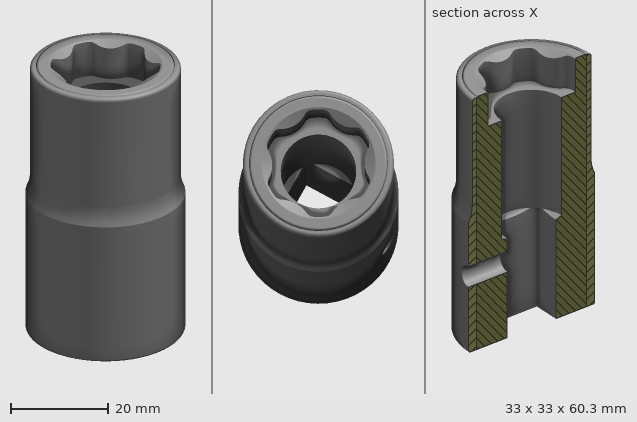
import cadquery as cq
import math

LENGTH = 60.3
LOWER_DIAMETER = 33.0
LOWER_RADIUS = LOWER_DIAMETER / 2
UPPER_RADIUS = 15.55

SLEEVE_BORE_RADIUS = 14.3
SLEEVE_TOP = 60.1
SLEEVE_TOP_ROUND = 0.8
SLEEVE_BOTTOM_ROUND = 0.5
FLARE_BOTTOM = 31.05
FLARE_TOP = 35.1

SOCKET_RADIUS = SLEEVE_BORE_RADIUS
SOCKET_TAPER_WIDTH = 0.25
SOCKET_TAPER_HEIGHT = 0.6
SOCKET_TOP_ROUND = 0.5

LOBE_COUNT = 6
LOBE_RADIUS = 11.35
RIDGE_APEX_RADIUS = 9.5
RIDGE_ARC_RADIUS = 6.0
LOBE_CORNER_ROUND = 1.8
RECESS_DEPTH = 8.1
LEAD_IN_RADIUS = 11.75
LEAD_IN_DROP = 1.1

BORE_RADIUS = 7.8
DRIVE_WIDTH = 12.6
DRIVE_DEPTH = 24.1
BORE_CONE_SLOPE = 20.0

RETENTION_HOLE_RADIUS = 2.4
RETENTION_HOLE_HEIGHT = 18.1


def make_sleeve():
    """Revolved shell with rounded ends and a concave flare."""
    rise = FLARE_TOP - FLARE_BOTTOM
    step = LOWER_RADIUS - UPPER_RADIUS
    flare_radius = (rise**2 + step**2) / (2 * step)
    half_angle = math.asin(rise / flare_radius) / 2
    flare_middle = (
        UPPER_RADIUS + flare_radius * (1 - math.cos(half_angle)),
        FLARE_TOP - flare_radius * math.sin(half_angle),
    )
    blank = (
        cq.Workplane("XZ")
        .moveTo(0, 0)
        .lineTo(LOWER_RADIUS, 0)
        .lineTo(LOWER_RADIUS, FLARE_BOTTOM)
        .threePointArc(flare_middle, (UPPER_RADIUS, FLARE_TOP))
        .lineTo(UPPER_RADIUS, SLEEVE_TOP)
        .lineTo(0, SLEEVE_TOP)
        .close()
        .revolve(360, (0, 0, 0), (0, 1, 0))
    )
    blank = blank.faces(">Z").edges().fillet(SLEEVE_TOP_ROUND)
    blank = blank.faces("<Z").edges().fillet(SLEEVE_BOTTOM_ROUND)
    bore = cq.Workplane("XY").circle(SLEEVE_BORE_RADIUS).extrude(LENGTH)
    return blank.cut(bore).cut(make_retention_hole())


def make_lobed_recess():
    """Cutter with six lobes separated by rounded ridges at 0, 60, ... degrees."""
    floor = LENGTH - RECESS_DEPTH
    plane = cq.Workplane("XY").workplane(offset=floor)
    ridges = (
        plane.polarArray(RIDGE_APEX_RADIUS + RIDGE_ARC_RADIUS, 0, 360, LOBE_COUNT)
        .circle(RIDGE_ARC_RADIUS)
        .extrude(RECESS_DEPTH)
    )
    lobes = plane.circle(LOBE_RADIUS).extrude(RECESS_DEPTH).cut(ridges)
    return lobes.edges("|Z").fillet(LOBE_CORNER_ROUND)


def make_pointed_cone(radius, top, drop):
    """Cone with its wide end up at height `top`, narrowing to a point below."""
    return (
        cq.Workplane("XZ")
        .moveTo(0, top)
        .lineTo(radius, top)
        .lineTo(0, top - drop)
        .close()
        .revolve(360, (0, 0, 0), (0, 1, 0))
    )


def make_lead_in():
    """Cone that opens the mouth of the lobed recess."""
    slope = LEAD_IN_DROP / (LEAD_IN_RADIUS - RIDGE_APEX_RADIUS)
    return make_pointed_cone(LEAD_IN_RADIUS, LENGTH, slope * LEAD_IN_RADIUS)


def make_bore():
    """Clearance bore with a conical bottom leading into the square drive."""
    bore = (
        cq.Workplane("XY")
        .workplane(offset=DRIVE_DEPTH)
        .circle(BORE_RADIUS)
        .extrude(LENGTH - RECESS_DEPTH - DRIVE_DEPTH)
    )
    cone_drop = BORE_RADIUS * math.tan(math.radians(BORE_CONE_SLOPE))
    return bore.union(make_pointed_cone(BORE_RADIUS, DRIVE_DEPTH, cone_drop))


def make_retention_hole():
    """Cutter from the axis out through the +Y wall."""
    return (
        cq.Workplane("XZ")
        .center(0, RETENTION_HOLE_HEIGHT)
        .circle(RETENTION_HOLE_RADIUS)
        .extrude(-LOWER_DIAMETER)
    )


def make_socket_blank():
    """Cylinder whose top end tapers slightly and has a rounded rim."""
    rim_radius = SOCKET_RADIUS - SOCKET_TAPER_WIDTH
    blank = (
        cq.Workplane("XZ")
        .moveTo(0, 0)
        .lineTo(SOCKET_RADIUS, 0)
        .lineTo(SOCKET_RADIUS, LENGTH - SOCKET_TAPER_HEIGHT)
        .lineTo(rim_radius, LENGTH)
        .lineTo(0, LENGTH)
        .close()
        .revolve(360, (0, 0, 0), (0, 1, 0))
    )
    return blank.faces(">Z").edges().fillet(SOCKET_TOP_ROUND)


def make_socket():
    """Inner body with the lobed recess, clearance bore and square drive."""
    drive = cq.Workplane("XY").rect(DRIVE_WIDTH, DRIVE_WIDTH).extrude(DRIVE_DEPTH)
    socket = make_socket_blank().cut(make_lobed_recess()).cut(make_lead_in())
    return socket.cut(make_bore()).cut(drive).cut(make_retention_hole())


sleeve = make_sleeve()
socket = make_socket()

result = cq.Compound.makeCompound([sleeve.val(), socket.val()])